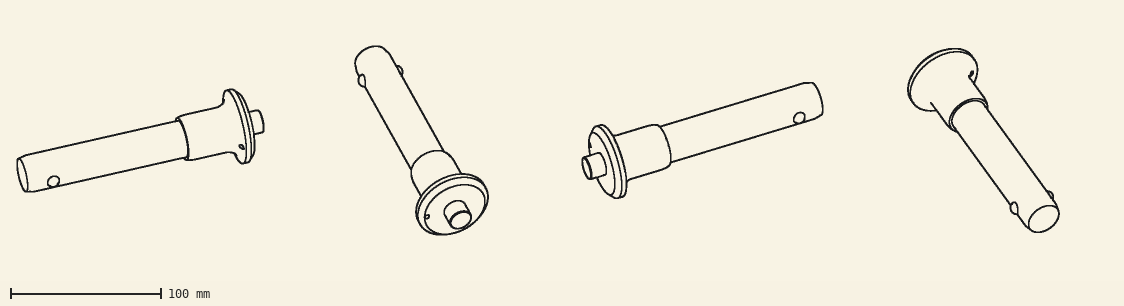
import cadquery as cq
import math

total_length = 166.8
tip_y = -total_length / 2
button_end_y = total_length / 2

shank_radius = 12.5
tip_radius = 11.3
tip_taper_length = 5.2

handle_length = 55.0
sleeve_radius = 15.3
collar_radius = 15.0
collar_end_radius = 14.3
collar_length = 2.0
sleeve_taper_length = 3.0

head_radius = 25.0
rim_length = 3.5
head_chamfer = 3.5
flare_radius = head_radius - sleeve_radius

button_radius = 7.7
button_length = 11.2
button_chamfer = 0.5

ball_radius = 4.3
ball_reach = 15.5
ball_y = tip_y + 17.7

lanyard_hole_diameter = 3.2
lanyard_hole_x = 19.8

head_top_y = button_end_y - button_length
rim_top_y = head_top_y - head_chamfer
rim_bottom_y = rim_top_y - rim_length
flare_end_y = rim_bottom_y - flare_radius
collar_end_y = button_end_y - handle_length


def make_body():
    """Revolve the half profile of the shank, handle and button about Y."""
    arc_offset = flare_radius * (1 - math.sqrt(0.5))
    profile = (
        cq.Workplane("XY")
        .moveTo(0, tip_y)
        .lineTo(tip_radius, tip_y)
        .lineTo(shank_radius, tip_y + tip_taper_length)
        .lineTo(shank_radius, collar_end_y)
        .lineTo(collar_end_radius, collar_end_y)
        .lineTo(collar_radius, collar_end_y + collar_length)
        .lineTo(sleeve_radius, collar_end_y + collar_length + sleeve_taper_length)
        .lineTo(sleeve_radius, flare_end_y)
        .threePointArc(
            (sleeve_radius + arc_offset, rim_bottom_y - arc_offset),
            (head_radius, rim_bottom_y),
        )
        .lineTo(head_radius, rim_top_y)
        .lineTo(head_radius - head_chamfer, head_top_y)
        .lineTo(button_radius, head_top_y)
        .lineTo(button_radius, button_end_y - button_chamfer)
        .lineTo(button_radius - button_chamfer, button_end_y)
        .lineTo(0, button_end_y)
        .close()
    )
    return profile.revolve(360, (0, 0, 0), (0, 1, 0))


def make_ball(side):
    """Make the locking ball on the +X (side = 1) or -X (side = -1) flank."""
    ball_x = side * (ball_reach - ball_radius)
    return cq.Workplane("XY").sphere(ball_radius).translate((ball_x, ball_y, 0))


def make_lanyard_hole():
    """Make the cutter for the hole through the head, parallel to the pin axis."""
    return (
        cq.Workplane("XZ", origin=(lanyard_hole_x, head_top_y, 0))
        .circle(lanyard_hole_diameter / 2)
        .extrude(head_top_y - flare_end_y)
    )


result = make_body()
for side in (-1, 1):
    result = result.union(make_ball(side))
result = result.cut(make_lanyard_hole())